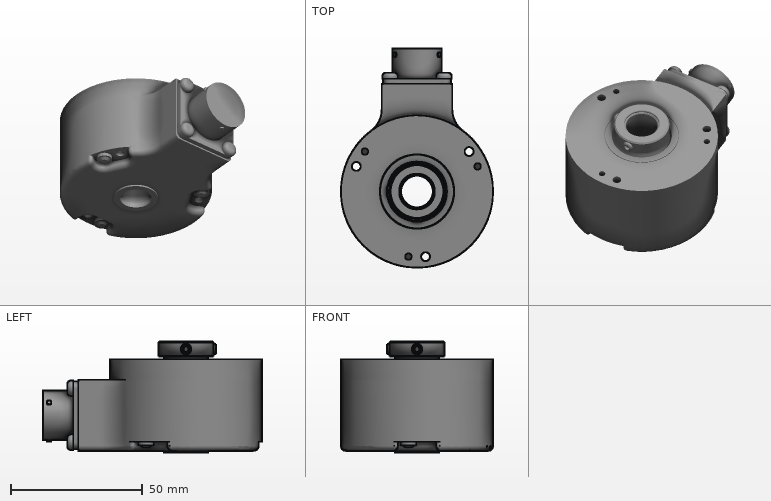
import cadquery as cq
import math

BODY_RADIUS = 29.0
BODY_HEIGHT = 35.0
BOTTOM_FILLET = 2.0

ARM_WIDTH = 27.0
ARM_HEIGHT = 27.2
ARM_END_Y = 41.0
ARM_BLEND_RADIUS = 10.0

PAIR_COUNT = 3
PAIR_FIRST_ANGLE = -90.0
PAIR_HALF_ANGLE = 7.5
HOLE_CIRCLE_RADIUS = 25.0
CLEARANCE_DIAMETER = 3.3
TAPPED_DIAMETER = 2.5
TAPPED_DEPTH = 8.0

NOTCH_RADIUS = 4.0
NOTCH_HEIGHT = 3.5
NOTCH_MOUTH_ROUND = 1.1

COVER_HEAD_RADIUS = 2.95
COVER_HEAD_HEIGHT = 1.3
NOSE_BASE_RADIUS = 2.2
NOSE_TIP_RADIUS = 1.3
NOSE_HEIGHT = 0.8

PAN_HEAD_RADIUS = 3.0
PAN_HEAD_HEIGHT = 2.3
PAN_HEAD_ROUND = 1.55

BORE_RADIUS = 6.0
SHAFT_RADIUS = 8.4
SHAFT_BOTTOM_Z = -0.6
COLLAR_RADIUS = 10.5
COLLAR_BOTTOM_Z = BODY_HEIGHT + 0.8
COLLAR_TOP_Z = BODY_HEIGHT + 6.7
COLLAR_CHAMFER = 0.5
BORE_CHAMFER = 0.4
SEAT_RADIUS = 6.6
SEAT_DEPTH = 0.7
SEAT_CHAMFER = 0.25
RECESS_RADIUS = 11.45
RECESS_FLOOR_RADIUS = 10.8
RECESS_DEPTH = 1.0
GROOVE_RADIUS = 14.2
GROOVE_WIDTH = 0.2
GROOVE_DEPTH = 0.3

SET_SCREW_RADIUS = 2.0
SET_SCREW_REACH = 11.5
SET_SCREW_CHAMFER = 0.4
HEX_SIDES = 6
SOCKET_DIAMETER = 2.1
SOCKET_DEPTH = 1.2
SET_SCREW_ANGLES = (180.0, 270.0)

CONNECTOR_Z = ARM_HEIGHT / 2
FLANGE_SIZE = 26.0
FLANGE_THICKNESS = 2.0
FLANGE_SCREW_OFFSET = 10.3
FLANGE_CORNER_RADIUS = FLANGE_SIZE / 2 - FLANGE_SCREW_OFFSET
BARREL_RADIUS = 9.5
BARREL_END_Y = 54.5
PIN_RADIUS = 0.9
PIN_REACH = 10.0
PIN_Y = 52.1
PIN_ANGLES = (30.0, 150.0, 270.0)

OVERLAP = 1.0
TOLERANCE = 0.01


def polar(radius, angle):
    """Point in the XY plane at a radius and an angle in degrees."""
    return (radius * math.cos(math.radians(angle)), radius * math.sin(math.radians(angle)))


def pair_angles():
    return [PAIR_FIRST_ANGLE + 360.0 / PAIR_COUNT * i for i in range(PAIR_COUNT)]


def make_lower_body():
    """Round body up to the arm height, with the arm blended into it by tangent arcs."""
    half = ARM_WIDTH / 2
    blend_x = half + ARM_BLEND_RADIUS
    centre_distance = BODY_RADIUS + ARM_BLEND_RADIUS
    blend_y = math.sqrt(centre_distance**2 - blend_x**2)
    touch_x = blend_x * BODY_RADIUS / centre_distance
    touch_y = blend_y * BODY_RADIUS / centre_distance
    mid_angle = math.pi + math.atan2(blend_y, blend_x) / 2
    mid_x = blend_x + ARM_BLEND_RADIUS * math.cos(mid_angle)
    mid_y = blend_y + ARM_BLEND_RADIUS * math.sin(mid_angle)
    return (
        cq.Workplane("XY")
        .moveTo(-half, ARM_END_Y)
        .lineTo(half, ARM_END_Y)
        .lineTo(half, blend_y)
        .threePointArc((mid_x, mid_y), (touch_x, touch_y))
        .threePointArc((0, -BODY_RADIUS), (-touch_x, touch_y))
        .threePointArc((-mid_x, mid_y), (-half, blend_y))
        .close()
        .extrude(ARM_HEIGHT)
    )


def make_notch(angle):
    """Rounded notch, open to the outside, that surrounds one hole pair."""
    spacing = 2 * HOLE_CIRCLE_RADIUS * math.sin(math.radians(PAIR_HALF_ANGLE))
    centre_x = HOLE_CIRCLE_RADIUS * math.cos(math.radians(PAIR_HALF_ANGLE))
    inner_x = centre_x - NOTCH_RADIUS
    length = BODY_RADIUS + OVERLAP - inner_x
    return (
        cq.Workplane("XY")
        .box(length, spacing + 2 * NOTCH_RADIUS, NOTCH_HEIGHT, centered=(False, True, False))
        .edges("|Z and <X")
        .fillet(NOTCH_RADIUS)
        .translate((inner_x, 0, 0))
        .rotate((0, 0, 0), (0, 0, 1), angle)
    )


def is_notch_mouth(edge):
    """True for the edges along which a notch wall meets the outside of the body.

    They are the straight upright edges and the curved mitres of the bottom fillet below them.
    """
    box = edge.BoundingBox()
    centre = edge.Center()
    rises = box.zmax - box.zmin > TOLERANCE
    within_notch = box.zmax < NOTCH_HEIGHT + TOLERANCE
    near_side = math.hypot(centre.x, centre.y) > BODY_RADIUS - BOTTOM_FILLET / 2
    return rises and within_notch and near_side and edge.geomType() != "CIRCLE"


def make_housing():
    housing = make_lower_body()
    for angle in pair_angles():
        housing = housing.cut(make_notch(angle))
    housing = housing.faces("<Z").edges("not(>Y)").fillet(BOTTOM_FILLET)
    mouth_edges = [edge for edge in housing.edges().vals() if is_notch_mouth(edge)]
    housing = housing.newObject(mouth_edges).fillet(NOTCH_MOUTH_ROUND)
    upper_body = cq.Workplane("XY", origin=(0, 0, ARM_HEIGHT)).circle(BODY_RADIUS)
    return housing.union(upper_body.extrude(BODY_HEIGHT - ARM_HEIGHT))


def cut_hole_pairs(housing):
    """Clearance holes right through and blind tapped holes from the top face."""
    clearance_points = [polar(HOLE_CIRCLE_RADIUS, a + PAIR_HALF_ANGLE) for a in pair_angles()]
    tapped_points = [polar(HOLE_CIRCLE_RADIUS, a - PAIR_HALF_ANGLE) for a in pair_angles()]
    top = cq.Workplane("XY", origin=(0, 0, BODY_HEIGHT))
    clearance = top.pushPoints(clearance_points).circle(CLEARANCE_DIAMETER / 2).extrude(-BODY_HEIGHT)
    tapped = top.pushPoints(tapped_points).circle(TAPPED_DIAMETER / 2).extrude(-TAPPED_DEPTH)
    return housing.cut(clearance).cut(tapped)


def cut_seal_recess(housing):
    """V-shaped recess around the shaft, steep on its outer side, and a fine groove outside it."""
    recess = (
        cq.Workplane("XZ")
        .moveTo(SHAFT_RADIUS, BODY_HEIGHT)
        .lineTo(RECESS_FLOOR_RADIUS, BODY_HEIGHT - RECESS_DEPTH)
        .lineTo(RECESS_RADIUS, BODY_HEIGHT)
        .close()
        .revolve(360, (0, 0, 0), (0, 1, 0))
    )
    groove = (
        cq.Workplane("XY", origin=(0, 0, BODY_HEIGHT))
        .circle(GROOVE_RADIUS)
        .circle(GROOVE_RADIUS - GROOVE_WIDTH)
        .extrude(-GROOVE_DEPTH)
    )
    return housing.cut(recess).cut(groove)


def make_cover_screw():
    """Screw head hanging down from the origin."""
    return (
        cq.Workplane("XZ")
        .lineTo(COVER_HEAD_RADIUS, 0)
        .lineTo(COVER_HEAD_RADIUS, -COVER_HEAD_HEIGHT)
        .lineTo(NOSE_BASE_RADIUS, -COVER_HEAD_HEIGHT)
        .lineTo(NOSE_TIP_RADIUS, -COVER_HEAD_HEIGHT - NOSE_HEIGHT)
        .lineTo(0, -COVER_HEAD_HEIGHT - NOSE_HEIGHT)
        .close()
        .revolve(360, (0, 0, 0), (0, 1, 0))
    )


def add_cover_screws(housing):
    """One screw head on the ceiling of each notch, below the tapped hole."""
    for angle in pair_angles():
        x, y = polar(HOLE_CIRCLE_RADIUS, angle - PAIR_HALF_ANGLE)
        housing = housing.union(make_cover_screw().translate((x, y, NOTCH_HEIGHT)))
    return housing


def make_shaft():
    """Shaft with its clamping collar, before boring."""
    shaft = cq.Workplane("XY", origin=(0, 0, SHAFT_BOTTOM_Z)).circle(SHAFT_RADIUS)
    shaft = shaft.extrude(COLLAR_TOP_Z - SHAFT_BOTTOM_Z)
    collar = (
        cq.Workplane("XY", origin=(0, 0, COLLAR_BOTTOM_Z))
        .circle(COLLAR_RADIUS)
        .extrude(COLLAR_TOP_Z - COLLAR_BOTTOM_Z)
        .edges()
        .chamfer(COLLAR_CHAMFER)
    )
    return shaft.union(collar)


def set_screw_plane(angle):
    """Plane at the outer end of a set screw, facing away from the shaft axis."""
    x, y = polar(SET_SCREW_REACH, angle)
    middle_z = (COLLAR_BOTTOM_Z + COLLAR_TOP_Z) / 2
    return cq.Plane(origin=(x, y, middle_z), xDir=(-y, x, 0), normal=(x, y, 0))


def make_set_screw(angle):
    return (
        cq.Workplane(set_screw_plane(angle))
        .circle(SET_SCREW_RADIUS)
        .extrude(SHAFT_RADIUS - SET_SCREW_REACH)
        .faces(cq.selectors.DirectionMinMaxSelector(set_screw_plane(angle).zDir))
        .chamfer(SET_SCREW_CHAMFER)
    )


def make_set_screw_socket(angle):
    return (
        cq.Workplane(set_screw_plane(angle))
        .polygon(HEX_SIDES, SOCKET_DIAMETER)
        .extrude(-SOCKET_DEPTH)
    )


def make_bore():
    """Through bore, chamfered below a shallow wider seat at the collar end."""
    seat_z = COLLAR_TOP_Z - SEAT_DEPTH
    return (
        cq.Workplane("XZ")
        .moveTo(0, SHAFT_BOTTOM_Z)
        .lineTo(BORE_RADIUS, SHAFT_BOTTOM_Z)
        .lineTo(BORE_RADIUS, seat_z - BORE_CHAMFER)
        .lineTo(BORE_RADIUS + BORE_CHAMFER, seat_z)
        .lineTo(SEAT_RADIUS, seat_z)
        .lineTo(SEAT_RADIUS, COLLAR_TOP_Z - SEAT_CHAMFER)
        .lineTo(SEAT_RADIUS + SEAT_CHAMFER, COLLAR_TOP_Z)
        .lineTo(0, COLLAR_TOP_Z)
        .close()
        .revolve(360, (0, 0, 0), (0, 1, 0))
    )


def make_barrel_pin(angle):
    """Bayonet pin standing out radially from the connector barrel."""
    x, z = polar(1, angle)
    return (
        cq.Workplane(cq.Plane(origin=(0, PIN_Y, CONNECTOR_Z), xDir=(0, 1, 0), normal=(x, 0, z)))
        .circle(PIN_RADIUS)
        .extrude(PIN_REACH)
    )


def make_pan_head():
    """Pan head seated at the origin and pointing along +Y."""
    head = cq.Workplane("XZ").circle(PAN_HEAD_RADIUS).extrude(-PAN_HEAD_HEIGHT)
    return head.faces(">Y").edges().fillet(PAN_HEAD_ROUND)


def make_connector():
    """Square flange with four screws and a round barrel carrying bayonet pins."""
    arm_end = cq.Workplane("XZ", origin=(0, ARM_END_Y, CONNECTOR_Z))
    connector = arm_end.rect(FLANGE_SIZE, FLANGE_SIZE).extrude(-FLANGE_THICKNESS)
    connector = connector.edges("|Y").fillet(FLANGE_CORNER_RADIUS)
    connector = connector.union(arm_end.circle(BARREL_RADIUS).extrude(ARM_END_Y - BARREL_END_Y))
    head = make_pan_head()
    for x in (-FLANGE_SCREW_OFFSET, FLANGE_SCREW_OFFSET):
        for z in (CONNECTOR_Z - FLANGE_SCREW_OFFSET, CONNECTOR_Z + FLANGE_SCREW_OFFSET):
            connector = connector.union(head.translate((x, ARM_END_Y + FLANGE_THICKNESS, z)))
    for angle in PIN_ANGLES:
        connector = connector.union(make_barrel_pin(angle))
    return connector


housing = add_cover_screws(cut_hole_pairs(cut_seal_recess(make_housing())))
encoder = housing.union(make_shaft())
for screw_angle in SET_SCREW_ANGLES:
    encoder = encoder.union(make_set_screw(screw_angle))
    encoder = encoder.cut(make_set_screw_socket(screw_angle))
result = encoder.cut(make_bore()).union(make_connector())